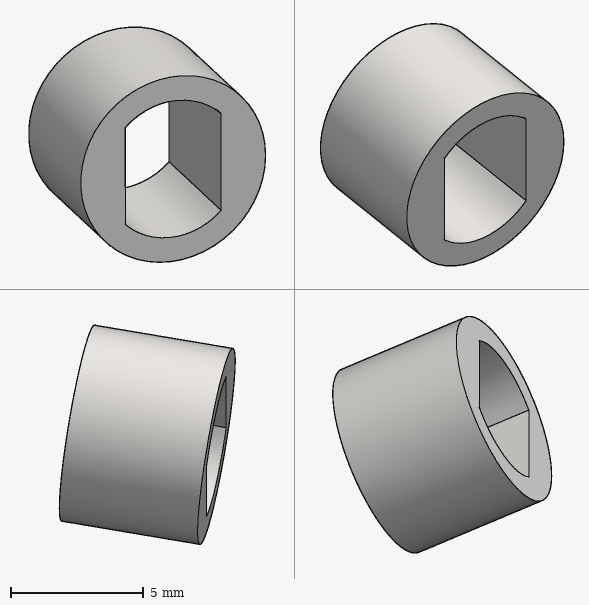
import cadquery as cq

outer_diameter = 7.53
length = 5.33
bore_diameter = 5.55
flat_spacing = 3.9


def double_flat_bore():
    """Round bore trimmed by two flats parallel to the XZ plane."""
    round_bore = cq.Workplane("YZ").circle(bore_diameter / 2).extrude(length)
    between_flats = cq.Workplane("YZ").rect(flat_spacing, bore_diameter).extrude(length)
    return round_bore.intersect(between_flats)


sleeve = cq.Workplane("YZ").circle(outer_diameter / 2).extrude(length)
result = sleeve.cut(double_flat_bore())